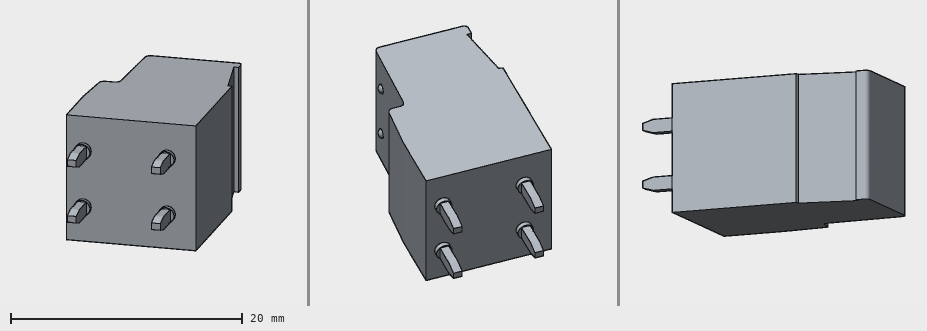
import cadquery as cq

housing_width = 11.62
housing_length = 18.02
housing_height = 11.34

taper_start_y = 5.44
step_y = 10.03
step_outer_x = 0.31
upper_wall_bottom_x = 1.935
upper_wall_top_x = 2.195
corner_radius = 0.5

lip_x = 10.75
lip_bottom_y = 16.85
lip_corner_radius = 0.4
recess_top_x = 10.32
recess_bottom_x = 11.24
recess_bottom_y = 11.7
shoulder_y = 11.6

column_pitch = 7.54
row_pitch = 5.08
first_column_x = 1.52
first_row_z = (housing_height - row_pitch) / 2
column_positions = [first_column_x, first_column_x + column_pitch]
row_positions = [first_row_z, first_row_z + row_pitch]

total_length = 21.7
pin_length = total_length - housing_length
collar_radius = 0.72
collar_length = 0.46
pin_thickness = 0.8
pin_height = 1.18
pin_tip_height = 0.6
pin_taper_length = 1.0

bump_radius = 0.5
bump_x = 2.35
bump_y = 16.16


def make_housing():
    """Extrude the stepped outline upward and round its left and lip corners."""
    far_left_corner = (upper_wall_top_x, housing_length)
    step_inner_corner = (upper_wall_bottom_x, step_y)
    step_outer_corner = (step_outer_x, step_y)
    lip_corner = (lip_x, housing_length)
    outline = [
        (0, 0),
        (housing_width, 0),
        (housing_width, shoulder_y),
        (recess_bottom_x, recess_bottom_y),
        (recess_top_x, lip_bottom_y),
        (lip_x, lip_bottom_y),
        lip_corner,
        far_left_corner,
        step_inner_corner,
        step_outer_corner,
        (0, taper_start_y),
    ]
    housing = cq.Workplane("XY").polyline(outline).close().extrude(housing_height)

    for corner in [far_left_corner, step_inner_corner, step_outer_corner]:
        housing = round_corner(housing, corner, corner_radius)
    return round_corner(housing, lip_corner, lip_corner_radius)


def round_corner(body, corner, radius):
    """Fillet the vertical edge that passes through the given XY corner."""
    corner_x, corner_y = corner
    edge_middle = (corner_x, corner_y, housing_height / 2)
    return body.edges("|Z").edges(cq.selectors.NearestToPointSelector(edge_middle)).fillet(radius)


def make_bump(row_z):
    """Ball partly sunk into the upper left wall."""
    return cq.Workplane("XY").sphere(bump_radius).translate((bump_x, bump_y, row_z))


def make_pin(column_x, row_z):
    """Round collar followed by a flat blade that tapers in Z toward its tip."""
    collar = cq.Workplane("XZ").circle(collar_radius).extrude(collar_length)
    half_height = pin_height / 2
    half_tip = pin_tip_height / 2
    taper_y = pin_taper_length - pin_length
    blade_outline = [
        (0, -half_height),
        (taper_y, -half_height),
        (-pin_length, -half_tip),
        (-pin_length, half_tip),
        (taper_y, half_height),
        (0, half_height),
    ]
    blade = cq.Workplane("YZ").polyline(blade_outline).close().extrude(pin_thickness / 2, both=True)
    return collar.union(blade).translate((column_x, 0, row_z))


result = make_housing()
for row_z in row_positions:
    result = result.union(make_bump(row_z))
    for column_x in column_positions:
        result = result.union(make_pin(column_x, row_z))